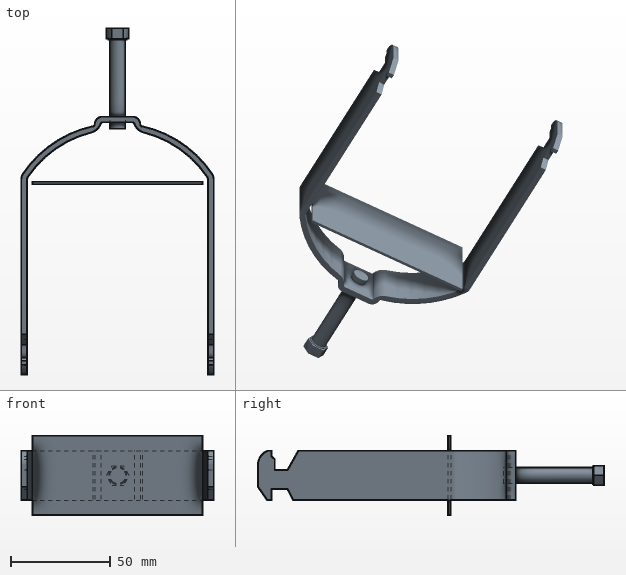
import cadquery as cq
import math


strap_thickness = 3.0
strap_width = 25.0
strap_span = 97.0
crown_y = 130.0
crown_flat_half = 7.5
jog_inner_radius = 1.0
jog_heel_bulge = 0.5
shoulder_radius = 57.4
shoulder_center_y = 69.1
leg_bend_radius = 5.0

neck_top_z = 2.8
neck_bottom_z = -7.0
neck_start_y = 15.0
shoulder_top_y = 20.5
shoulder_bottom_y = 17.8
hook_back_y = 7.0
catch_back_y = 8.5
catch_top_z = 8.2
catch_chamfer_height = 1.4
hook_round_length = 5.0
hook_round_height = 8.0
hook_round_bulge = 1.5
hook_chamfer_length = 4.7
hook_chamfer_height = 6.8

plate_length = 85.9
plate_height = 40.0
plate_thickness = 1.4
plate_center_y = 96.5

bolt_top_y = 174.5
bolt_tip_y = 123.7
shank_diameter = 8.0
head_across_flats = 10.0
head_thickness = 5.2
collar_diameter = 9.0
collar_thickness = 0.5


def polar(center, radius, angle):
    """Point on a circle, with the angle in radians from +X."""
    return (center[0] + radius * math.cos(angle), center[1] + radius * math.sin(angle))


def make_strap_band():
    """Bent strip at full width, without the hooks or the bolt hole."""
    half_span = strap_span / 2
    jog_outer_radius = jog_inner_radius + strap_thickness
    shoulder_inner_radius = shoulder_radius - strap_thickness
    bend_inner_radius = leg_bend_radius - strap_thickness

    upper_jog = (crown_flat_half, crown_y - jog_outer_radius)
    lower_jog = (upper_jog[0] + jog_outer_radius + jog_inner_radius, upper_jog[1])
    right = 0.0
    up = math.pi / 2
    upper_mid = math.pi / 4
    lower_mid = -3 * math.pi / 4

    shoulder_center = (0, shoulder_center_y)
    bend_x = half_span - leg_bend_radius
    bend_angle = math.acos(bend_x / (shoulder_radius - leg_bend_radius))
    bend_center = polar(shoulder_center, shoulder_radius - leg_bend_radius, bend_angle)
    jog_angle = math.acos(lower_jog[0] / shoulder_radius)
    jog_inner_angle = math.acos(lower_jog[0] / shoulder_inner_radius)
    shoulder_mid = (bend_angle + jog_angle) / 2

    half_profile = (
        cq.Workplane("XY")
        .moveTo(0, crown_y)
        .lineTo(crown_flat_half, crown_y)
        .threePointArc(
            polar(upper_jog, jog_outer_radius, upper_mid),
            polar(upper_jog, jog_outer_radius, right),
        )
        .threePointArc(
            polar(lower_jog, jog_inner_radius, lower_mid),
            polar(shoulder_center, shoulder_radius, jog_angle),
        )
        .threePointArc(
            polar(shoulder_center, shoulder_radius, shoulder_mid),
            polar(shoulder_center, shoulder_radius, bend_angle),
        )
        .threePointArc(
            polar(bend_center, leg_bend_radius, bend_angle / 2),
            polar(bend_center, leg_bend_radius, right),
        )
        .lineTo(half_span, 0)
        .lineTo(half_span - strap_thickness, 0)
        .lineTo(*polar(bend_center, bend_inner_radius, right))
        .threePointArc(
            polar(bend_center, bend_inner_radius, bend_angle / 2),
            polar(bend_center, bend_inner_radius, bend_angle),
        )
        .threePointArc(
            polar(shoulder_center, shoulder_inner_radius, shoulder_mid),
            polar(shoulder_center, shoulder_inner_radius, jog_inner_angle),
        )
        .sagittaArc(polar(upper_jog, jog_inner_radius, right), jog_heel_bulge)
        .threePointArc(
            polar(upper_jog, jog_inner_radius, upper_mid),
            polar(upper_jog, jog_inner_radius, up),
        )
        .lineTo(0, crown_y - strap_thickness)
        .close()
    )
    half_band = half_profile.extrude(strap_width / 2, both=True)
    return half_band.union(half_band.mirror("YZ"))


def make_leg_side_outline():
    """Side shape of the strap, with the hook at the tip, through the full span."""
    edge_z = strap_width / 2
    return (
        cq.Workplane("YZ")
        .moveTo(crown_y, edge_z)
        .lineTo(shoulder_top_y, edge_z)
        .lineTo(neck_start_y, neck_top_z)
        .lineTo(catch_back_y, neck_top_z)
        .lineTo(catch_back_y, catch_top_z)
        .lineTo(hook_back_y, catch_top_z + catch_chamfer_height)
        .lineTo(hook_back_y, edge_z)
        .lineTo(hook_round_length, edge_z)
        .sagittaArc((0, edge_z - hook_round_height), -hook_round_bulge)
        .lineTo(0, hook_chamfer_height - edge_z)
        .lineTo(hook_chamfer_length, -edge_z)
        .lineTo(hook_back_y, -edge_z)
        .lineTo(hook_back_y, neck_bottom_z)
        .lineTo(neck_start_y, neck_bottom_z)
        .lineTo(shoulder_bottom_y, -edge_z)
        .lineTo(crown_y, -edge_z)
        .close()
        .extrude(strap_span / 2, both=True)
    )


def cylinder_along_y(diameter, start_y, end_y):
    """Cylinder on the bolt axis between two Y positions."""
    start = cq.Vector(0, start_y, 0)
    direction = cq.Vector(0, 1, 0)
    return cq.Workplane(cq.Solid.makeCylinder(diameter / 2, end_y - start_y, start, direction))


def make_strap():
    """Bent strap with hooked leg ends and a bolt hole through the crown."""
    bolt_hole = cylinder_along_y(shank_diameter, crown_y - strap_thickness, crown_y)
    return make_strap_band().intersect(make_leg_side_outline()).cut(bolt_hole)


def make_plate():
    """Flat plate between the legs, facing the bolt tip."""
    plate_block = cq.Workplane("XY").box(plate_length, plate_thickness, plate_height)
    return plate_block.translate((0, plate_center_y, 0))


def make_bolt():
    """Hex bolt along Y, with two head flats facing up and down."""
    across_corners = head_across_flats / math.cos(math.pi / 6)
    head_base_y = bolt_top_y - head_thickness
    head = (
        cq.Workplane("XZ", origin=(0, bolt_top_y, 0))
        .polygon(6, across_corners)
        .extrude(head_thickness)
    )
    collar = cylinder_along_y(collar_diameter, head_base_y - collar_thickness, head_base_y)
    shank = cylinder_along_y(shank_diameter, bolt_tip_y, head_base_y)
    return head.union(collar).union(shank)


strap = make_strap()
plate = make_plate()
bolt = make_bolt()

result = cq.Compound.makeCompound([strap.val(), plate.val(), bolt.val()])